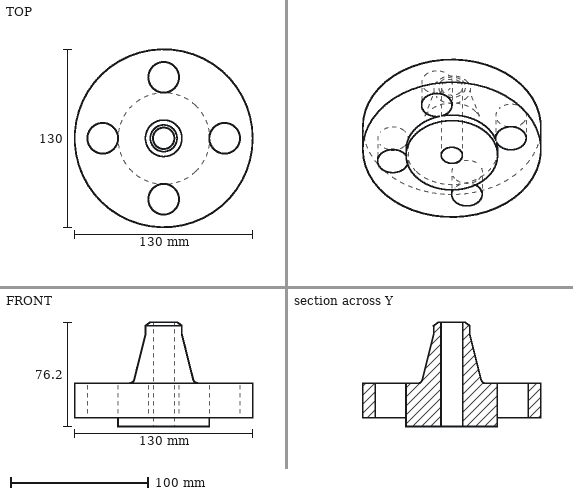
import cadquery as cq

flange_diameter = 130.0
flange_thickness = 25.5
face_diameter = 66.8
face_height = 6.2

bolt_circle_diameter = 88.9
bolt_hole_diameter = 22.2
bolt_hole_count = 4

total_height = 76.2
hub_base_diameter = 44.5
neck_diameter = 26.7
neck_length = 6.4
bevel_height = 2.6
weld_land_diameter = 19.5
bore_diameter = 15.5
hub_fillet_radius = 3.3

flange_top = face_height + flange_thickness
bevel_start = total_height - bevel_height
neck_start = bevel_start - neck_length


def make_body():
    """Revolve the half section of face, flange, hub and weld end."""
    section = (
        cq.Workplane("XZ")
        .moveTo(0, 0)
        .lineTo(face_diameter / 2, 0)
        .lineTo(face_diameter / 2, face_height)
        .lineTo(flange_diameter / 2, face_height)
        .lineTo(flange_diameter / 2, flange_top)
        .lineTo(hub_base_diameter / 2, flange_top)
        .lineTo(neck_diameter / 2, neck_start)
        .lineTo(neck_diameter / 2, bevel_start)
        .lineTo(weld_land_diameter / 2, total_height)
        .lineTo(0, total_height)
        .close()
    )
    return section.revolve(360, (0, 0, 0), (0, 1, 0))


def fillet_hub_base(body):
    """Round the inside corner where the hub meets the flange."""
    margin = 0.1
    reach = hub_base_diameter / 2 + margin
    around_hub_base = cq.selectors.BoxSelector(
        (-reach, -reach, flange_top - margin),
        (reach, reach, flange_top + margin),
        boundingbox=True,
    )
    return body.edges(around_hub_base).fillet(hub_fillet_radius)


def cut_bore(body):
    """Bore straight through along the axis."""
    return body.cut(cq.Workplane("XY").circle(bore_diameter / 2).extrude(total_height))


def cut_bolt_holes(body):
    """Drill the evenly spaced bolt holes through the flange, grazing the raised face."""
    holes = (
        cq.Workplane("XY")
        .polarArray(bolt_circle_diameter / 2, 0, 360, bolt_hole_count)
        .circle(bolt_hole_diameter / 2)
        .extrude(flange_top)
    )
    return body.cut(holes)


result = cut_bolt_holes(cut_bore(fillet_hub_base(make_body())))